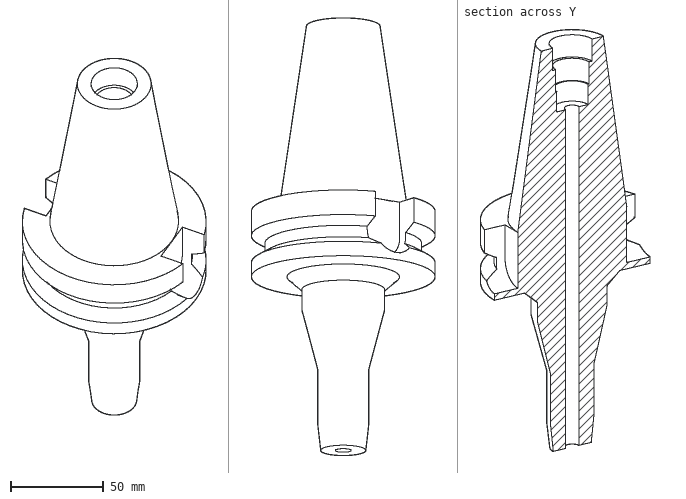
import cadquery as cq

total_height = 236.8
nose_cone_top = 15.0
neck_top = 45.5
body_cone_top = 78.4
collar_top = 89.7
flange_bottom = 96.9
lower_rim_top = 105.0
groove_bottom = 109.2
groove_top = 115.5
upper_rim_bottom = 119.8
flange_top = 133.5
gauge_height = 135.0

nose_tip_radius = 12.3
neck_radius = 14.0
collar_radius = 22.5
flange_cone_radius = 30.5
flange_radius = 100.0 / 2
groove_radius = 42.6
gauge_radius = 69.9 / 2
taper_ratio = 7 / 24
taper_end_radius = gauge_radius - taper_ratio / 2 * (total_height - gauge_height)

through_radius = 4.3
entry_radius = 12.5
entry_depth = 13.0
thread_radius = 10.7
thread_depth = 26.0
pilot_radius = 10.0
pilot_depth = 38.0

slot_width = 25.5
slot_bottom = 100.9
slot_floor_offset = 35.0


def make_body():
    outline = [
        (0, 0),
        (nose_tip_radius, 0),
        (neck_radius, nose_cone_top),
        (neck_radius, neck_top),
        (collar_radius, body_cone_top),
        (collar_radius, collar_top),
        (flange_cone_radius, flange_bottom),
        (flange_radius, flange_bottom),
        (flange_radius, lower_rim_top),
        (groove_radius, groove_bottom),
        (groove_radius, groove_top),
        (flange_radius, upper_rim_bottom),
        (flange_radius, flange_top),
        (gauge_radius, flange_top),
        (gauge_radius, gauge_height),
        (taper_end_radius, total_height),
        (0, total_height),
    ]
    return cq.Workplane("XZ").polyline(outline).close().revolve(360, (0, 0, 0), (0, 1, 0))


def make_bore(radius, depth):
    return cq.Workplane("XY").workplane(offset=total_height - depth).circle(radius).extrude(depth)


def make_drive_slot(side):
    """U-shaped slot, open at the top and outward; side is +1 for +X, -1 for -X."""
    half_width = slot_width / 2
    arc_center = slot_bottom + half_width
    return (
        cq.Workplane("YZ", origin=(side * slot_floor_offset, 0, 0))
        .moveTo(-half_width, flange_top)
        .lineTo(-half_width, arc_center)
        .threePointArc((0, slot_bottom), (half_width, arc_center))
        .lineTo(half_width, flange_top)
        .close()
        .extrude(side * flange_radius)
    )


result = make_body()

bore_steps = [
    (entry_radius, entry_depth),
    (thread_radius, thread_depth),
    (pilot_radius, pilot_depth),
    (through_radius, total_height),
]
for step_radius, step_depth in bore_steps:
    result = result.cut(make_bore(step_radius, step_depth))

for slot_side in (1, -1):
    result = result.cut(make_drive_slot(slot_side))